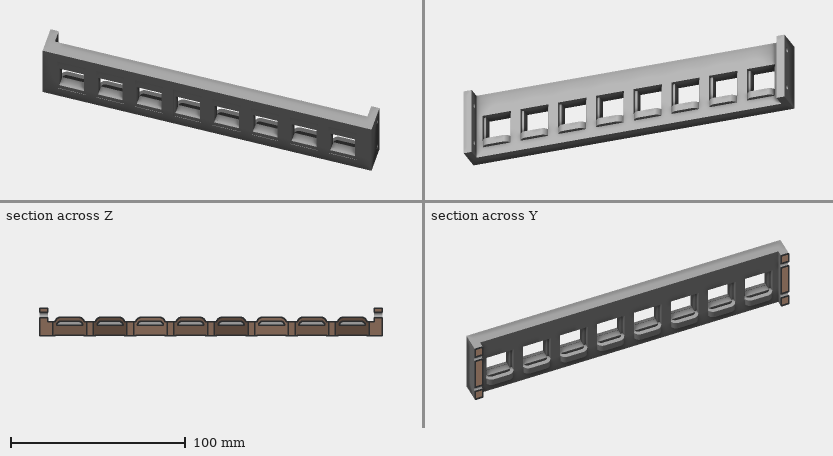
import cadquery as cq
import math

PANEL_LENGTH = 196.5
PANEL_HEIGHT = 40.0
PANEL_DEPTH = 16.0
PLATE_THICKNESS = 8.3
EAR_THICKNESS = 5.0

SCREW_HOLE_DIAMETER = 3.0
SCREW_HOLE_FROM_BACK = 4.0
SCREW_HOLE_SPACING = 24.0

HOLDER_COUNT = 8
HOLDER_ROW_SPAN = 162.0
HOLDER_WIDTH = 19.0
HOLDER_HEIGHT = 28.1

BORDER = 1.2
RECESS_DEPTH = 0.2

WINDOW_WIDTH = 14.7
WINDOW_HEIGHT = 16.1
WINDOW_BOTTOM = 10.2
WIDE_WINDOW_WIDTH = 17.3
WIDE_WINDOW_FRONT = 5.7
SILL_LIP = 2.2
LEDGE_DROP = 0.2

CATCH_WIDTH = 16.9
CATCH_BACK = 10.8
CATCH_RADIUS = 4.0
GAP_FRONT = 6.3
GAP_BACK = PLATE_THICKNESS
GAP_CORNER_RADIUS = 2.45

HOLDER_BOTTOM = (PANEL_HEIGHT - HOLDER_HEIGHT) / 2
SILL_HEIGHT = WINDOW_BOTTOM - HOLDER_BOTTOM
HOLDER_PITCH = HOLDER_ROW_SPAN / (HOLDER_COUNT - 1)
HOLDER_CENTERS = [i * HOLDER_PITCH - HOLDER_ROW_SPAN / 2 for i in range(HOLDER_COUNT)]


def block(width, y_front, y_back, z_bottom, height):
    """Box centred on X = 0, from y_front to y_back, standing on z_bottom."""
    box = cq.Workplane("XY").box(width, y_back - y_front, height, centered=(True, False, False))
    return box.translate((0, y_front, z_bottom))


def make_panel():
    panel = block(PANEL_LENGTH, 0, PANEL_DEPTH, 0, PANEL_HEIGHT)
    inside_length = PANEL_LENGTH - 2 * EAR_THICKNESS
    panel = panel.cut(block(inside_length, PLATE_THICKNESS, PANEL_DEPTH, 0, PANEL_HEIGHT))

    opening = block(HOLDER_WIDTH, 0, PLATE_THICKNESS, HOLDER_BOTTOM, HOLDER_HEIGHT)
    for x in HOLDER_CENTERS:
        panel = panel.cut(opening.translate((x, 0, 0)))

    screw_y = PANEL_DEPTH - SCREW_HOLE_FROM_BACK
    for side in (-1, 1):
        screw_z = PANEL_HEIGHT / 2 + side * SCREW_HOLE_SPACING / 2
        hole = cq.Workplane("YZ").center(screw_y, screw_z).circle(SCREW_HOLE_DIAMETER / 2)
        panel = panel.cut(hole.extrude(PANEL_LENGTH / 2, both=True))
    return panel


def make_catch():
    """Bar standing out behind the plate; its end arcs run tangent into the flat back."""
    arc_depth = CATCH_BACK - PLATE_THICKNESS
    arc_run = math.sqrt(CATCH_RADIUS**2 - (CATCH_RADIUS - arc_depth) ** 2)
    half_width = CATCH_WIDTH / 2
    half_flat = half_width - arc_run
    outline = (
        cq.Workplane("XY", origin=(0, 0, HOLDER_BOTTOM))
        .moveTo(-half_width, PLATE_THICKNESS)
        .radiusArc((-half_flat, CATCH_BACK), CATCH_RADIUS)
        .lineTo(half_flat, CATCH_BACK)
        .radiusArc((half_width, PLATE_THICKNESS), CATCH_RADIUS)
        .close()
    )
    return outline.extrude(SILL_HEIGHT)


def make_gap():
    """Slot down through the sill in front of the catch, with rounded back corners."""
    slot = block(WINDOW_WIDTH, 0, GAP_BACK, HOLDER_BOTTOM, SILL_HEIGHT)
    slot = slot.edges("|Z and >Y").fillet(GAP_CORNER_RADIUS)
    return slot.cut(block(WINDOW_WIDTH, 0, GAP_FRONT, HOLDER_BOTTOM, SILL_HEIGHT))


def make_holder():
    """Holder at X = 0: a frame around the window, with the catch behind the sill."""
    frame = block(HOLDER_WIDTH, 0, PLATE_THICKNESS, HOLDER_BOTTOM, HOLDER_HEIGHT)
    recess = block(
        HOLDER_WIDTH - 2 * BORDER,
        0,
        RECESS_DEPTH,
        HOLDER_BOTTOM + BORDER,
        HOLDER_HEIGHT - 2 * BORDER,
    )
    window = block(WINDOW_WIDTH, 0, PLATE_THICKNESS, WINDOW_BOTTOM, WINDOW_HEIGHT)
    wide_window = block(
        WIDE_WINDOW_WIDTH, WIDE_WINDOW_FRONT, PLATE_THICKNESS, WINDOW_BOTTOM, WINDOW_HEIGHT
    )
    ledge = block(WINDOW_WIDTH, SILL_LIP, GAP_FRONT, WINDOW_BOTTOM - LEDGE_DROP, LEDGE_DROP)
    holder = frame.union(make_catch())
    for opening in (recess, window, wide_window, ledge, make_gap()):
        holder = holder.cut(opening)
    return holder


panel = make_panel()
holder = make_holder()
holders = [holder.translate((x, 0, 0)) for x in HOLDER_CENTERS]

result = cq.Compound.makeCompound([panel.val(), *[h.val() for h in holders]])